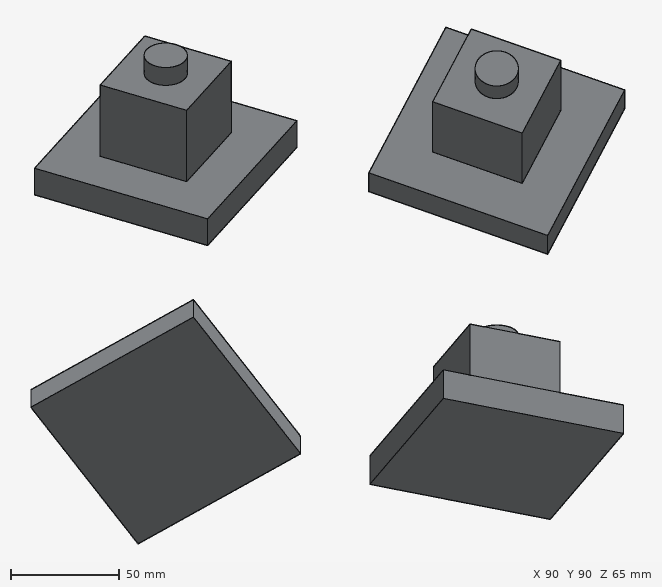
import cadquery as cq

base_side = 90.0
base_height = 15.0

block_side = base_side / 2
block_height = 40.0

stud_diameter = 20.0
stud_height = 10.0


def make_base():
    """Square plate resting on the XY plane, centred on the Z axis."""
    return cq.Workplane("XY").rect(base_side, base_side).extrude(base_height)


def add_block(body):
    """Stand the square block on the top face of the plate."""
    return body.faces(">Z").workplane().rect(block_side, block_side).extrude(block_height)


def add_stud(body):
    """Stand the round stud on the top face of the block."""
    return body.faces(">Z").workplane().circle(stud_diameter / 2).extrude(stud_height)


result = add_stud(add_block(make_base()))